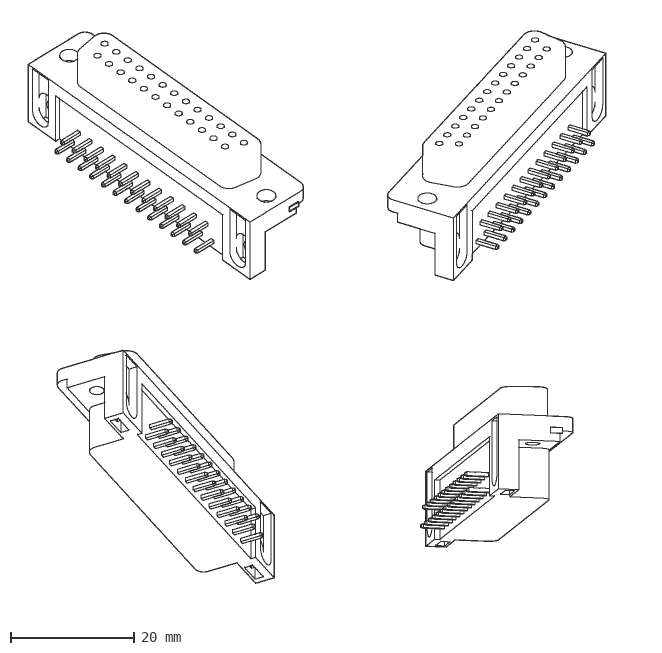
import cadquery as cq
import math


body_length = 52.9
body_width = 12.7
body_height = 12.35
flange_thickness = 2.4
flange_corner_radius = 1.6
ear_thickness = 3.4
overhang_height = 8.2
front_y = -body_width / 2

panel_width = 39.8
panel_height = 9.75
panel_depth = 0.85
block_corner_radius = 1.6

shell_width = 7.8
shell_height = 6.15
shell_mid_length = 37.9
shell_side_angle = 10.0
shell_corner_radius = 2.0
shell_rim_radius = 0.3

long_row_count = 13
short_row_count = long_row_count - 1
long_row_span = 33.2
contact_pitch = long_row_span / (long_row_count - 1)
row_spacing = 2.85
socket_diameter = 1.15
socket_depth = shell_height
pin_size = 0.65
pin_reach = 3.0
pin_tip_length = 0.3
pin_tip_size = 0.4
lower_pin_z = 1.5

mount_x = 23.5
flange_hole_diameter = 2.35
flange_bore_diameter = 3.1
flange_bore_depth = flange_thickness
ear_hole_diameter = 3.2
ear_hole_z = 2.9
slot_width = 3.7
slot_top_z = 12.05
slot_depth = 1.45
pocket_depth = 2.9
pocket_top_z = 6.8

pad_thickness = 0.15
pad_length = 2.0
pad_height = 0.95
pad_y = 3.3
pad_z = 10.0


def box_between(x_range, y_range, z_range):
    """Axis-aligned box given by its lower and upper limits."""
    sizes = [high - low for low, high in (x_range, y_range, z_range)]
    corner = (x_range[0], y_range[0], z_range[0])
    return cq.Workplane("XY").box(*sizes, centered=False).translate(corner)


def row_positions(count):
    """X places of evenly pitched contacts, centred on the connector."""
    return [(i - (count - 1) / 2) * contact_pitch for i in range(count)]


def housing():
    """Flange, upper body, ears and the central block behind the pins."""
    half_length = body_length / 2
    half_block = panel_width / 2
    rear_y = shell_width / 2
    ends = (-half_length, half_length)
    flange = (
        box_between(ends, (front_y, -front_y), (body_height - flange_thickness, body_height))
        .edges("|Z and >Y")
        .fillet(flange_corner_radius)
    )
    upper = box_between(ends, (front_y, rear_y), (overhang_height, body_height))
    ears = box_between(ends, (front_y, front_y + ear_thickness), (0, body_height))
    block = (
        box_between((-half_block, half_block), (front_y, rear_y), (0, overhang_height))
        .edges("|Z and >Y")
        .fillet(block_corner_radius)
    )
    panel = box_between((-half_block, half_block), (front_y, front_y + panel_depth), (0, panel_height))
    return flange.union(upper).union(ears).union(block).cut(panel)


def shell():
    """D-shaped shell with slanted ends, rounded corners and a rounded rim."""
    half_width = shell_width / 2
    half_slant = half_width * math.tan(math.radians(shell_side_angle))
    rear_x = shell_mid_length / 2 + half_slant
    front_x = shell_mid_length / 2 - half_slant
    outline = [(-front_x, -half_width), (front_x, -half_width), (rear_x, half_width), (-rear_x, half_width)]
    return (
        cq.Workplane("XY", origin=(0, 0, body_height))
        .polyline(outline)
        .close()
        .extrude(shell_height)
        .edges("|Z")
        .fillet(shell_corner_radius)
        .faces(">Z")
        .edges()
        .fillet(shell_rim_radius)
    )


def sockets():
    """Blind contact holes in the mating face, the long row at the rear."""
    points = [(x, row_spacing / 2) for x in row_positions(long_row_count)]
    points += [(x, -row_spacing / 2) for x in row_positions(short_row_count)]
    return (
        cq.Workplane("XY", origin=(0, 0, body_height + shell_height))
        .pushPoints(points)
        .circle(socket_diameter / 2)
        .extrude(-socket_depth)
    )


def solder_pins():
    """Square pins with tapered tips, the long row at the bottom."""
    points = [(x, lower_pin_z) for x in row_positions(long_row_count)]
    points += [(x, lower_pin_z + row_spacing) for x in row_positions(short_row_count)]
    shank_length = panel_depth + pin_reach - pin_tip_length
    tip_taper = math.degrees(math.atan((pin_size - pin_tip_size) / 2 / pin_tip_length))
    pin = (
        cq.Workplane("XZ", origin=(0, front_y + panel_depth, 0))
        .rect(pin_size, pin_size)
        .extrude(shank_length)
        .faces("<Y")
        .workplane()
        .rect(pin_size, pin_size)
        .extrude(pin_tip_length, taper=tip_taper)
    )
    return [pin.translate((x, 0, z)) for x, z in points]


def flange_hole(x):
    """Counterbored vertical hole, open below behind the ear."""
    top = cq.Workplane("XY", origin=(x, 0, body_height))
    bore = top.circle(flange_bore_diameter / 2).extrude(-flange_bore_depth)
    hole = top.circle(flange_hole_diameter / 2).extrude(-body_height)
    return bore.union(hole)


def round_cut(diameter, x, y, z, depth):
    """Cylinder running in +Y from the given point."""
    return cq.Workplane("XZ", origin=(x, y, z)).circle(diameter / 2).extrude(-depth)


def ear_slot(x):
    """Slot in the ear front, a deeper pocket behind it open at the base, and a through hole."""
    radius = slot_width / 2
    sides = (x - radius, x + radius)
    inner_y = front_y + slot_depth
    floor_y = front_y + pocket_depth
    pocket_arc_z = pocket_top_z - radius

    hole = round_cut(ear_hole_diameter, x, front_y, ear_hole_z, ear_thickness)
    slot_foot = round_cut(slot_width, x, front_y, ear_hole_z, slot_depth)
    slot = box_between(sides, (front_y, inner_y), (ear_hole_z, slot_top_z)).union(slot_foot)
    pocket_head = round_cut(slot_width, x, inner_y, pocket_arc_z, pocket_depth - slot_depth)
    pocket = box_between(sides, (inner_y, floor_y), (0, pocket_arc_z)).union(pocket_head)
    return slot.union(pocket).union(hole)


def end_pad():
    """Thin raised pad on the +X end face."""
    end_x = body_length / 2
    return box_between(
        (end_x - pad_thickness, end_x + pad_thickness),
        (pad_y - pad_length / 2, pad_y + pad_length / 2),
        (pad_z - pad_height / 2, pad_z + pad_height / 2),
    )


result = housing().union(shell()).cut(sockets())
for side_x in (-mount_x, mount_x):
    result = result.cut(flange_hole(side_x)).cut(ear_slot(side_x))
for pin in solder_pins():
    result = result.union(pin)
result = result.union(end_pad())